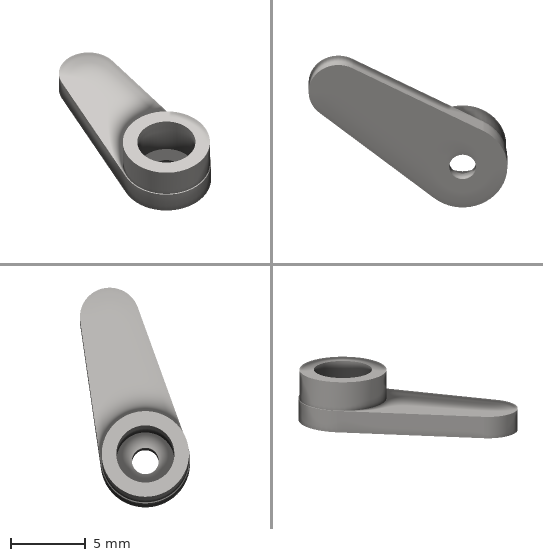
import cadquery as cq
import math

length = 15.0
hub_radius = 3.0
tip_radius = 2.0
plate_thickness = 1.5
boss_height = 2.0
boss_diameter = 5.85
bore_diameter = 3.9
bore_depth = 2.6
hole_diameter = 1.8

center_distance = length - hub_radius - tip_radius
taper_sine = (hub_radius - tip_radius) / center_distance
taper_cosine = math.sqrt(1 - taper_sine**2)


def tangent_point(center_x, radius, side):
    """Point where a straight flank meets an end arc; side is +1 or -1 in Y."""
    return (center_x - radius * taper_sine, side * radius * taper_cosine)


def arm_plate():
    """Flat tapered arm: two end arcs joined by tangent flanks."""
    return (
        cq.Workplane("XY")
        .moveTo(*tangent_point(0, hub_radius, -1))
        .threePointArc((hub_radius, 0), tangent_point(0, hub_radius, 1))
        .lineTo(*tangent_point(-center_distance, tip_radius, 1))
        .threePointArc(
            (-center_distance - tip_radius, 0),
            tangent_point(-center_distance, tip_radius, -1),
        )
        .close()
        .extrude(plate_thickness)
    )


def boss():
    """Raised round boss on the hub."""
    return (
        cq.Workplane("XY", origin=(0, 0, plate_thickness))
        .circle(boss_diameter / 2)
        .extrude(boss_height)
    )


def stepped_hole():
    """Through hole widened to a flat-bottomed bore that sinks from the boss top into the plate."""
    top_height = plate_thickness + boss_height
    hole = cq.Workplane("XY").circle(hole_diameter / 2).extrude(top_height)
    bore = (
        cq.Workplane("XY", origin=(0, 0, top_height))
        .circle(bore_diameter / 2)
        .extrude(-bore_depth)
    )
    return hole.union(bore)


result = arm_plate().union(boss()).cut(stepped_hole())